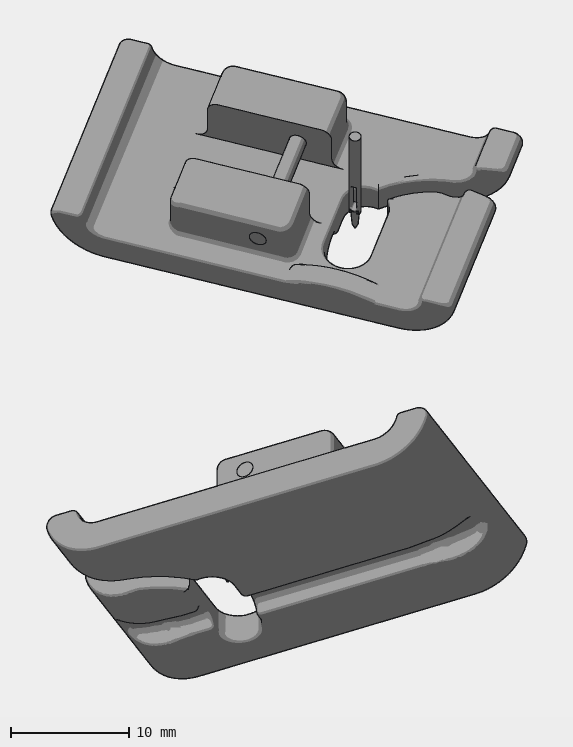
import cadquery as cq
import math

LENGTH = 35.75
WIDTH = 20.0
THICKNESS = 3.0
BEND_RADIUS = 5.0
TIP_ROUND = 1.0
EDGE_ROUND = 0.5
CUT_MARGIN = 3.57
PICK_TOLERANCE = 0.05

TIP_ROUND_OFFSET = math.sqrt((BEND_RADIUS - TIP_ROUND) ** 2 - TIP_ROUND ** 2)
FLAT_HALF = LENGTH / 2 - TIP_ROUND_OFFSET - TIP_ROUND
BEND_INNER = BEND_RADIUS - THICKNESS

BLOCK_LENGTH = 11.0
BLOCK_CENTRE_X = -2.5
BLOCK_GAP = 6.22
BLOCK_DEPTH = 5.0
BLOCK_TOP = 7.5
BLOCK_ROUND = 1.0
PIN_DIAMETER = 1.5
PIN_Z = (THICKNESS + BLOCK_TOP) / 2
BLOCK_OUTER_Y = BLOCK_GAP / 2 + BLOCK_DEPTH

NEEDLE_X = 7.0
NEEDLE_Y = -3.0
NEEDLE_DIAMETER = 1.0
NEEDLE_TOP = 15.4
SHANK_BOTTOM = 5.6
FLAT_TOP = 6.05
FLAT_SPACING = 0.6
TAPER_BOTTOM = 3.95
POINT_Z = 3.43
NECK_DIAMETER = 0.82
TAPER_DIAMETER = 0.55
POINT_DIAMETER = 0.15
EYE_WIDTH = 0.43
EYE_BOTTOM = 6.22
EYE_TOP = 9.22
EYE_ROUND = 0.1
SLOT_WIDTH = 4.0
SLOT_FRONT_Y = -5.0
SLOT_REAR_Y = 0.0

SLIT_CENTRE = (14.4, -5.0)
SLIT_REAR_RADIUS = 9.8
SLIT_FRONT_RADIUS = 8.65
SLIT_FLARE = math.radians(11.0)
SLIT_CORNER_X = 12.5
SLIT_CORNER_ROUND = 2.0
SLIT_START_ANGLE = math.radians(135.0)

BUMP_HALF = 4.0
BUMP_RADIUS = 10.0
BUMP_DEPTH = 2.0
BUMP_ROUND = 0.35
BUMP_BASE_ROUND = 0.2

GROOVE_RADIUS = 1.2
GROOVE_STRAIGHT_HALF = 10.72
GROOVE_MOUTH_RADIUS = 1.7
GROOVE_MOUTH_Z = 0.7


def sole():
    """Plate of constant profile along Y with curled ends and rounded tips."""
    bend_z = BEND_RADIUS
    outer_mid = BEND_RADIUS * math.sqrt(0.5)
    inner_mid = BEND_INNER * math.sqrt(0.5)
    tip_outer = FLAT_HALF + BEND_RADIUS
    tip_inner = FLAT_HALF + BEND_INNER
    profile = (
        cq.Workplane("XZ", origin=(0, WIDTH / 2, 0))
        .moveTo(-FLAT_HALF, 0)
        .lineTo(FLAT_HALF, 0)
        .threePointArc((FLAT_HALF + outer_mid, bend_z - outer_mid), (tip_outer, bend_z))
        .lineTo(tip_inner, bend_z)
        .threePointArc((FLAT_HALF + inner_mid, bend_z - inner_mid), (FLAT_HALF, THICKNESS))
        .lineTo(-FLAT_HALF, THICKNESS)
        .threePointArc((-FLAT_HALF - inner_mid, bend_z - inner_mid), (-tip_inner, bend_z))
        .lineTo(-tip_outer, bend_z)
        .threePointArc((-FLAT_HALF - outer_mid, bend_z - outer_mid), (-FLAT_HALF, 0))
        .close()
    )
    plate = profile.extrude(WIDTH)
    for side in (-1, 1):
        for corner_x, radius in ((tip_outer, TIP_ROUND), (tip_inner, EDGE_ROUND)):
            corner = cq.selectors.NearestToPointSelector((side * corner_x, 0, bend_z))
            plate = plate.edges(corner).fillet(radius)
    return plate


def slot_cutter():
    """Round-ended needle slot along Y, through the full height."""
    height = BEND_RADIUS + 2 * CUT_MARGIN
    return (
        cq.Workplane("XY", origin=(NEEDLE_X, (SLOT_FRONT_Y + SLOT_REAR_Y) / 2, -CUT_MARGIN))
        .slot2D(SLOT_REAR_Y - SLOT_FRONT_Y + SLOT_WIDTH, SLOT_WIDTH, 90)
        .extrude(height)
    )


def slit_cutter():
    """Slit between two concentric arcs that opens into a straight-sided flare at the tip."""
    cx, cy = SLIT_CENTRE

    def on_arc(radius, angle):
        return (cx + radius * math.cos(angle), cy + radius * math.sin(angle))

    end_x = LENGTH / 2 + CUT_MARGIN
    rear_end_angle = math.pi / 2 + SLIT_FLARE
    rear_end = on_arc(SLIT_REAR_RADIUS, rear_end_angle)
    front_end_angle = math.acos((SLIT_CORNER_X - cx) / SLIT_FRONT_RADIUS)
    front_end = on_arc(SLIT_FRONT_RADIUS, front_end_angle)
    slope = math.tan(SLIT_FLARE)
    cutter = (
        cq.Workplane("XY", origin=(0, 0, -CUT_MARGIN))
        .moveTo(*on_arc(SLIT_REAR_RADIUS, SLIT_START_ANGLE))
        .threePointArc(on_arc(SLIT_REAR_RADIUS, (SLIT_START_ANGLE + rear_end_angle) / 2), rear_end)
        .lineTo(end_x, rear_end[1] + (end_x - rear_end[0]) * slope)
        .lineTo(end_x, front_end[1] - (end_x - front_end[0]) * slope)
        .lineTo(*front_end)
        .threePointArc(
            on_arc(SLIT_FRONT_RADIUS, (SLIT_START_ANGLE + front_end_angle) / 2),
            on_arc(SLIT_FRONT_RADIUS, SLIT_START_ANGLE),
        )
        .close()
        .extrude(BEND_RADIUS + 2 * CUT_MARGIN)
    )
    corner = cq.selectors.NearestToPointSelector((*front_end, BEND_RADIUS / 2))
    return cutter.edges(corner).fillet(SLIT_CORNER_ROUND)


def round_wall_edges(plate):
    """Round the edges where upright walls meet the curled sole; corners along Z stay sharp."""
    walls = plate.faces().filter(lambda face: abs(face.normalAt().z) < PICK_TOLERANCE)
    return walls.edges("not |Z").fillet(EDGE_ROUND)


def block(side):
    """One pin block; side is -1 for the front block and 1 for the rear one."""
    centre_y = side * (BLOCK_GAP + BLOCK_DEPTH) / 2
    outer, inner = ("<Y", ">Y") if side < 0 else (">Y", "<Y")
    body = (
        cq.Workplane("XY", origin=(BLOCK_CENTRE_X, centre_y, THICKNESS / 2))
        .rect(BLOCK_LENGTH, BLOCK_DEPTH)
        .extrude(BLOCK_TOP - THICKNESS / 2)
    )
    body = body.faces(outer).edges("|Z").fillet(BLOCK_ROUND)
    return body.faces(">Z").edges(f"not({inner})").fillet(BLOCK_ROUND)


def add_blocks(plate):
    """Join both blocks to the plate with a concave rounding around three sides of each."""
    for side in (-1, 1):
        plate = plate.union(block(side))

    def floor_box(half_y):
        half_x = BLOCK_LENGTH / 2 + PICK_TOLERANCE
        return cq.selectors.BoxSelector(
            (BLOCK_CENTRE_X - half_x, -half_y, THICKNESS - PICK_TOLERANCE),
            (BLOCK_CENTRE_X + half_x, half_y, THICKNESS + PICK_TOLERANCE),
        )

    base = floor_box(BLOCK_OUTER_Y + PICK_TOLERANCE) - floor_box(BLOCK_GAP / 2 + PICK_TOLERANCE)
    return plate.edges(base).fillet(BLOCK_ROUND)


def bump():
    """Arched bump, rounded along both long edges of its crest."""
    front = -WIDTH / 2
    rise = BUMP_RADIUS - math.sqrt(BUMP_RADIUS ** 2 - BUMP_HALF ** 2)
    body = (
        cq.Workplane("XZ", origin=(NEEDLE_X, front + BUMP_DEPTH, 0))
        .moveTo(-BUMP_HALF, THICKNESS / 2)
        .lineTo(BUMP_HALF, THICKNESS / 2)
        .lineTo(BUMP_HALF, THICKNESS)
        .threePointArc((0, THICKNESS + rise), (-BUMP_HALF, THICKNESS))
        .close()
        .extrude(BUMP_DEPTH)
    )
    body = body.edges("%CIRCLE").edges("<Y").fillet(EDGE_ROUND)
    return body.edges("%CIRCLE").edges(">Y").fillet(BUMP_ROUND)


def bump_on_plate(plate):
    """Piece of the plate around the bump, with the bump joined to it by a small concave rounding."""
    left = NEEDLE_X - BUMP_HALF
    right = NEEDLE_X + BUMP_HALF
    front = -WIDTH / 2
    back = front + BUMP_DEPTH
    base = cq.selectors.BoxSelector(
        (left - PICK_TOLERANCE, front + EDGE_ROUND, THICKNESS - PICK_TOLERANCE),
        (right + PICK_TOLERANCE, back + PICK_TOLERANCE, THICKNESS + PICK_TOLERANCE),
    )
    margin = 2 * BUMP_BASE_ROUND
    surround = cq.Workplane("XY").box(
        right - left + 2 * margin, BUMP_DEPTH + margin, THICKNESS, centered=(True, False, False)
    )
    piece = plate.intersect(surround.translate((NEEDLE_X, front, THICKNESS / 2)))
    return piece.union(bump()).edges(base).fillet(BUMP_BASE_ROUND)


def groove_cutter():
    """Round channel along X whose ends widen and rise into cone-shaped mouths."""

    def section(x, z, radius):
        plane = cq.Plane(origin=(x, NEEDLE_Y, z), xDir=(0, 0, -1), normal=(1, 0, 0))
        return cq.Workplane(plane).circle(radius).wires().val()

    mouth_x = LENGTH / 2
    sections = [
        section(-mouth_x, GROOVE_MOUTH_Z, GROOVE_MOUTH_RADIUS),
        section(-GROOVE_STRAIGHT_HALF, 0, GROOVE_RADIUS),
        section(GROOVE_STRAIGHT_HALF, 0, GROOVE_RADIUS),
        section(mouth_x, GROOVE_MOUTH_Z, GROOVE_MOUTH_RADIUS),
    ]
    return cq.Workplane(obj=cq.Solid.makeLoft(sections, True))


def cut_groove(plate):
    """Cut the groove and round its rim."""
    grooved = plate.cut(groove_cutter())
    reach = GROOVE_MOUTH_RADIUS + EDGE_ROUND
    rim = cq.selectors.BoxSelector(
        (-LENGTH, NEEDLE_Y - reach, -CUT_MARGIN),
        (LENGTH, NEEDLE_Y + reach, BEND_RADIUS - TIP_ROUND),
    )
    return grooved.edges(rim).edges("not %CIRCLE").fillet(EDGE_ROUND)


def pin():
    """Cross pin, flush with the outer faces of both blocks."""
    return (
        cq.Workplane("XZ", origin=(0, BLOCK_OUTER_Y, PIN_Z))
        .circle(PIN_DIAMETER / 2)
        .extrude(2 * BLOCK_OUTER_Y)
    )


def shank():
    """Straight upper part of the needle with a rounded eye and two short flats at its foot."""
    body = (
        cq.Workplane("XY", origin=(0, 0, SHANK_BOTTOM))
        .circle(NEEDLE_DIAMETER / 2)
        .extrude(NEEDLE_TOP - SHANK_BOTTOM)
    )
    eye = (
        cq.Workplane("XZ", origin=(0, NEEDLE_DIAMETER, (EYE_BOTTOM + EYE_TOP) / 2))
        .slot2D(EYE_TOP - EYE_BOTTOM, EYE_WIDTH, 90)
        .extrude(2 * NEEDLE_DIAMETER)
    )
    body = body.cut(eye)
    eye_rims = cq.selectors.BoxSelector(
        (-EYE_WIDTH, -NEEDLE_DIAMETER, EYE_BOTTOM - EYE_WIDTH / 2),
        (EYE_WIDTH, NEEDLE_DIAMETER, EYE_TOP + EYE_WIDTH / 2),
    )
    body = body.edges(eye_rims).edges("not #Y").fillet(EYE_ROUND)
    for side in (-1, 1):
        flat = cq.Workplane("XY", origin=(0, side * (FLAT_SPACING + NEEDLE_DIAMETER) / 2, 0)).box(
            2 * NEEDLE_DIAMETER, NEEDLE_DIAMETER, 2 * FLAT_TOP
        )
        body = body.cut(flat)
    return body


def needle():
    """Needle: shank, long taper and point."""
    taper = (
        cq.Workplane("XZ")
        .moveTo(0, POINT_Z)
        .lineTo(POINT_DIAMETER / 2, POINT_Z)
        .lineTo(TAPER_DIAMETER / 2, TAPER_BOTTOM)
        .lineTo(NECK_DIAMETER / 2, FLAT_TOP)
        .lineTo(0, FLAT_TOP)
        .close()
        .revolve(360, (0, 0, 0), (0, 1, 0))
    )
    return shank().union(taper).translate((NEEDLE_X, NEEDLE_Y, 0))


def foot():
    """Presser foot with every opening, block and bump, bored for the pin."""
    plate = cut_groove(sole())
    plate = plate.cut(slot_cutter().union(slit_cutter()))
    plate = round_wall_edges(plate)
    plate = add_blocks(plate).union(bump_on_plate(plate))
    return plate.cut(pin())


result = cq.Compound.makeCompound([foot().val(), pin().val(), needle().val()])